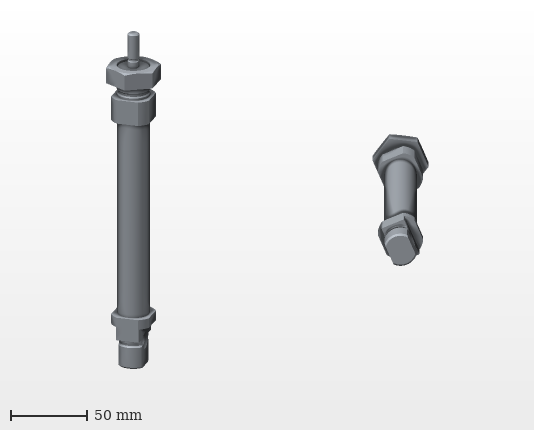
import cadquery as cq
import math

TOTAL_HEIGHT = 232.0

TUBE_DIAMETER = 21.3
COLLAR_DIAMETER = 22.0
COLLAR_TOP_CHAMFER = 0.7
FOOT_CHAMFER = 1.2
CAP_ACROSS_FLATS = 26.0
CAP_CORNER_DIAMETER = 30.0
COLLAR_TOP = 208.3
FRONT_CAP_BOTTOM = 172.1
FRONT_CAP_TOP = 188.5
FRONT_GROOVE_DIAMETER = 20.5
FRONT_GROOVE_BOTTOM = 191.0
FRONT_GROOVE_TOP = 193.3
REAR_CAP_TOP = 36.0
REAR_CAP_BOTTOM = 20.2
REAR_GROOVE_DIAMETER = 20.0
REAR_GROOVE_BOTTOM = 16.0
REAR_GROOVE_TOP = 18.0

TONGUE_THICKNESS = 16.0
TONGUE_TOP = 29.2
PIVOT_HEIGHT = 17.2
PIVOT_DIAMETER = 8.0
PIVOT_CHAMFER = 1.6

ROD_DIAMETER = 8.0
ROD_FLATS = 7.2
ROD_SHOULDER_CHAMFER = 0.5
ROD_NECK_DIAMETER = 6.5
ROD_NECK_BOTTOM = 213.0
ROD_NECK_TOP = 214.1
ROD_NECK_TAPER = 0.7
ROD_TIP_CHAMFER = 1.0
ROD_SOCKET_DEPTH = 20.9

NUT_ACROSS_FLATS = 32.0
NUT_BOTTOM = 198.1
NUT_TOP = 209.5
NUT_CHAMFER_ANGLE = 20.0


def cylinder(diameter, bottom, top):
    """Cylinder on the Z axis between two heights."""
    return cq.Workplane("XY").workplane(offset=bottom).circle(diameter / 2).extrude(top - bottom)


def box(size_x, size_y, bottom, top):
    """Box centred on the Z axis between two heights."""
    return cq.Workplane("XY").workplane(offset=bottom).rect(size_x, size_y).extrude(top - bottom)


def end_cap(bottom, top):
    """Square block with its corners rounded about the Z axis."""
    block = box(CAP_ACROSS_FLATS, CAP_ACROSS_FLATS, bottom, top)
    return block.intersect(cylinder(CAP_CORNER_DIAMETER, bottom, top))


def front_collar():
    """Threaded collar that carries the nut, with a relief groove above the cap."""
    groove_depth = (COLLAR_DIAMETER - FRONT_GROOVE_DIAMETER) / 2
    thread = cylinder(COLLAR_DIAMETER, FRONT_GROOVE_TOP - groove_depth, COLLAR_TOP)
    thread = thread.faces(">Z").chamfer(COLLAR_TOP_CHAMFER).faces("<Z").chamfer(groove_depth)
    neck = cylinder(FRONT_GROOVE_DIAMETER, FRONT_GROOVE_BOTTOM, FRONT_GROOVE_TOP)
    base = cylinder(COLLAR_DIAMETER, FRONT_CAP_TOP, FRONT_GROOVE_BOTTOM).faces(">Z").chamfer(groove_depth)
    return thread.union(neck).union(base)


def rear_collar():
    """Round foot below the rear cap, with a relief groove."""
    groove_depth = (COLLAR_DIAMETER - REAR_GROOVE_DIAMETER) / 2
    foot = cylinder(COLLAR_DIAMETER, 0, REAR_GROOVE_BOTTOM)
    foot = foot.faces("<Z").chamfer(FOOT_CHAMFER).faces(">Z").chamfer(groove_depth)
    neck = cylinder(REAR_GROOVE_DIAMETER, REAR_GROOVE_BOTTOM, REAR_GROOVE_TOP)
    base = cylinder(COLLAR_DIAMETER, REAR_GROOVE_TOP, REAR_CAP_BOTTOM)
    return foot.union(neck).union(base)


def tongue_waste():
    """Material beside the two flats of the tongue."""
    blank = box(CAP_CORNER_DIAMETER, CAP_CORNER_DIAMETER, 0, TONGUE_TOP)
    return blank.cut(box(TONGUE_THICKNESS, CAP_CORNER_DIAMETER, 0, TONGUE_TOP))


def pivot_hole():
    """Cross hole along X, chamfered at both flats."""
    face = TONGUE_THICKNESS / 2
    radius = PIVOT_DIAMETER / 2
    mouth = radius + PIVOT_CHAMFER
    profile = [
        (-face, 0),
        (-face, mouth),
        (-face + PIVOT_CHAMFER, radius),
        (face - PIVOT_CHAMFER, radius),
        (face, mouth),
        (face, 0),
    ]
    hole = cq.Workplane("XY").polyline(profile).close().revolve(360, (0, 0, 0), (1, 0, 0))
    return hole.translate((0, 0, PIVOT_HEIGHT))


def make_housing():
    housing = cylinder(TUBE_DIAMETER, REAR_CAP_TOP, FRONT_CAP_BOTTOM)
    housing = housing.union(end_cap(FRONT_CAP_BOTTOM, FRONT_CAP_TOP)).union(front_collar())
    housing = housing.union(end_cap(REAR_CAP_BOTTOM, REAR_CAP_TOP)).union(rear_collar())
    housing = housing.cut(tongue_waste()).cut(pivot_hole())
    return housing.cut(cylinder(ROD_DIAMETER, COLLAR_TOP - ROD_SOCKET_DEPTH, COLLAR_TOP))


def make_rod():
    rod_radius = ROD_DIAMETER / 2
    neck_radius = ROD_NECK_DIAMETER / 2
    rod_bottom = COLLAR_TOP - ROD_SOCKET_DEPTH
    profile = [
        (0, rod_bottom),
        (rod_radius, rod_bottom),
        (rod_radius, ROD_NECK_BOTTOM - ROD_SHOULDER_CHAMFER),
        (rod_radius - ROD_SHOULDER_CHAMFER, ROD_NECK_BOTTOM),
        (neck_radius, ROD_NECK_BOTTOM),
        (neck_radius, ROD_NECK_TOP),
        (rod_radius, ROD_NECK_TOP + ROD_NECK_TAPER),
        (rod_radius, TOTAL_HEIGHT - ROD_TIP_CHAMFER),
        (rod_radius - ROD_TIP_CHAMFER, TOTAL_HEIGHT),
        (0, TOTAL_HEIGHT),
    ]
    rod = cq.Workplane("XZ").polyline(profile).close().revolve(360, (0, 0, 0), (0, 1, 0))
    flats_blank = box(ROD_DIAMETER, ROD_DIAMETER, COLLAR_TOP, ROD_NECK_BOTTOM)
    flats_core = box(ROD_FLATS, ROD_DIAMETER, COLLAR_TOP, ROD_NECK_BOTTOM)
    return rod.cut(flats_blank.cut(flats_core))


def make_nut():
    corner_diameter = NUT_ACROSS_FLATS / math.cos(math.radians(30))
    height = NUT_TOP - NUT_BOTTOM
    hexagon = cq.Workplane("XY").workplane(offset=NUT_BOTTOM).polygon(6, corner_diameter).extrude(height)
    hexagon = hexagon.rotate((0, 0, 0), (0, 0, 1), 30)
    bevel_width = (corner_diameter - NUT_ACROSS_FLATS) / 2
    bevel_height = bevel_width * math.tan(math.radians(NUT_CHAMFER_ANGLE))
    envelope = cylinder(corner_diameter, NUT_BOTTOM, NUT_TOP)
    envelope = envelope.faces(">Z").chamfer(bevel_height, bevel_width)
    return hexagon.intersect(envelope).cut(cylinder(COLLAR_DIAMETER, NUT_BOTTOM, NUT_TOP))


housing = make_housing()
rod = make_rod()
nut = make_nut()

result = cq.Compound.makeCompound([housing.val(), rod.val(), nut.val()])